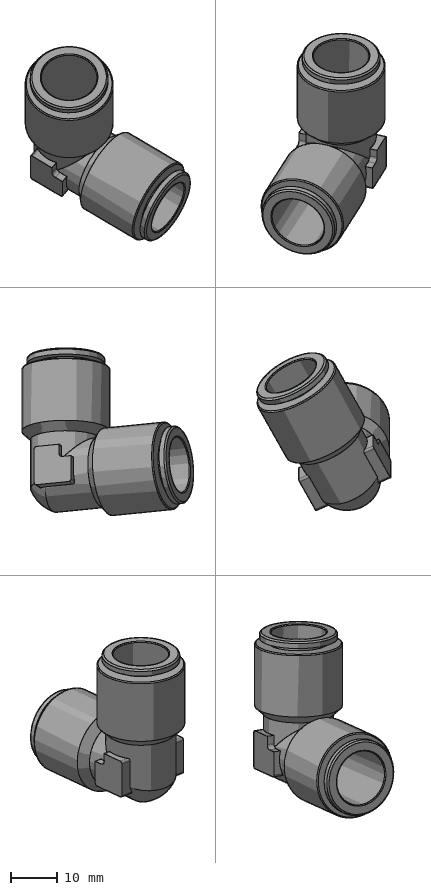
import cadquery as cq

overall_length = 36.0

body_diameter = 19.0
elbow_diameter = 15.2
collar_diameter = 16.8
sleeve_diameter = 12.8
tube_bore_diameter = 12.0
inner_bore_diameter = 11.0

arm_length = overall_length - body_diameter / 2
cone_start = 8.15
cone_end = 9.97
collar_thickness = 1.48
collar_gap = 1.05
collar_start = arm_length - collar_thickness
body_end = collar_start - collar_gap
tube_stop = cone_start

body_chamfer = 0.25
collar_chamfer = 0.35
mouth_chamfer = 0.2

bend_center = 0.45
bend_path_radius = 1.2

pad_face = 9.0
pad_low = -3.78
pad_high = 4.75
pad_step = 1.95
pad_corner_radius = 0.5
pad_step_radius = 0.95

elbow_radius = elbow_diameter / 2
body_radius = body_diameter / 2


def on_both_arms(vertical):
    """Return the vertical arm's solid and a copy turned onto the X arm."""
    horizontal = vertical.rotate((0, 0, 0), (0, 1, 0), 90)
    return vertical, horizontal


def mitred_elbow():
    """Two equal cylinders cut on the 45 degree plane and joined."""
    full = cq.Workplane("XY").circle(elbow_radius).extrude(cone_start + elbow_radius)
    vertical = full.translate((0, 0, -elbow_radius))
    reach = cone_start
    upper_wedge = (
        cq.Workplane("XZ")
        .polyline([(-reach, -reach), (reach, reach), (-reach, reach)])
        .close()
        .extrude(elbow_radius + 0.35, both=True)
    )
    lower_wedge = upper_wedge.rotate((0, 0, 0), (1, 0, 1), 180)
    vertical, horizontal = on_both_arms(vertical)
    return vertical.intersect(upper_wedge).union(horizontal.intersect(lower_wedge))


def bend_waste():
    """Material outside the torus, in the outer corner of the elbow."""
    size = elbow_radius + bend_center + 0.35
    corner = (
        cq.Workplane("XY")
        .box(size, 2 * size, size)
        .translate((bend_center - size / 2, 0, bend_center - size / 2))
    )
    torus = (
        cq.Workplane("XY")
        .moveTo(0, -elbow_radius)
        .lineTo(bend_path_radius, -elbow_radius)
        .threePointArc((bend_path_radius + elbow_radius, 0), (bend_path_radius, elbow_radius))
        .lineTo(0, elbow_radius)
        .close()
        .revolve(360, (0, 0, 0), (0, 1, 0))
        .translate((bend_center, 0, bend_center))
    )
    return corner.cut(torus)


def pads():
    """Stepped block that leaves a flat pad on each side of the elbow."""
    outline = [
        (pad_low, pad_low),
        (pad_high, pad_low),
        (pad_high, pad_step),
        (pad_step, pad_step),
        (pad_step, pad_high),
        (pad_low, pad_high),
    ]
    block = cq.Workplane("XZ").polyline(outline).close().extrude(pad_face, both=True)
    block = block.edges("|Y").edges(
        cq.selectors.NearestToPointSelector((pad_step, 0, pad_step))
    ).fillet(pad_step_radius)
    for corner in [(pad_low, 0, pad_low), (pad_high, 0, pad_low), (pad_low, 0, pad_high)]:
        edge = cq.selectors.NearestToPointSelector(corner)
        block = block.edges("|Y").edges(edge).fillet(pad_corner_radius)
    return block


def socket():
    """Turned end of one arm: cone, body, sleeve and release collar."""
    collar_radius = collar_diameter / 2
    sleeve_radius = sleeve_diameter / 2
    profile = [
        (0, cone_start),
        (elbow_radius, cone_start),
        (body_radius, cone_end),
        (body_radius, body_end - body_chamfer),
        (body_radius - body_chamfer, body_end),
        (sleeve_radius, body_end),
        (sleeve_radius, collar_start),
        (collar_radius, collar_start),
        (collar_radius, arm_length - collar_chamfer),
        (collar_radius - collar_chamfer, arm_length),
        (0, arm_length),
    ]
    return cq.Workplane("XZ").polyline(profile).close().revolve(360, (0, 0, 0), (0, 1, 0))


def bore():
    """Stepped hole of one arm, with a chamfered mouth."""
    inner_radius = inner_bore_diameter / 2
    tube_radius = tube_bore_diameter / 2
    profile = [
        (0, 0),
        (inner_radius, 0),
        (inner_radius, tube_stop),
        (tube_radius, tube_stop),
        (tube_radius, arm_length - mouth_chamfer),
        (tube_radius + mouth_chamfer, arm_length),
        (0, arm_length),
    ]
    return cq.Workplane("XZ").polyline(profile).close().revolve(360, (0, 0, 0), (0, 1, 0))


result = mitred_elbow().cut(bend_waste()).union(pads())
for arm_end in on_both_arms(socket()):
    result = result.union(arm_end)
for hole in on_both_arms(bore()):
    result = result.cut(hole)

result = result.cut(cq.Workplane("XY").sphere(inner_bore_diameter / 2))